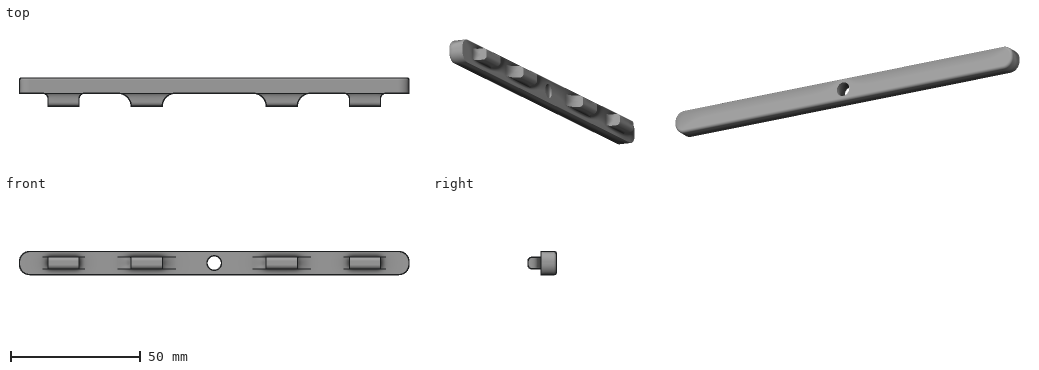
import cadquery as cq

bar_length = 150.0
bar_height = 9.0
bar_thickness = 6.0
end_corner_radius = 4.0
back_edge_radius = 1.0

hole_diameter = 5.5

lug_projection = 5.0
lug_height = 4.5
lug_tip_width = 12.0
lug_tip_radius = 1.5
outer_lug_x = 58.0
outer_root_radius = 2.0
inner_lug_x = 26.0
inner_root_radius = lug_projection
root_overlap = 1.0


def make_bar():
    """Bar with rounded ends, a rounded back edge and the middle hole."""
    bar = (
        cq.Workplane("XY")
        .box(bar_length, bar_thickness, bar_height, centered=(True, False, True))
        .edges("|Y")
        .fillet(end_corner_radius)
        .faces(">Y")
        .edges()
        .fillet(back_edge_radius)
    )
    hole = (
        cq.Workplane("XZ")
        .circle(hole_diameter / 2)
        .extrude(-bar_thickness)
    )
    return bar.cut(hole)


def make_lug(center_x, root_radius):
    """Lug with concave flares at its root and rounded long edges at its tip."""
    half_tip = lug_tip_width / 2
    half_root = half_tip + root_radius
    block_depth = lug_projection + root_overlap
    block = (
        cq.Workplane("XY")
        .box(2 * half_root, block_depth, lug_height, centered=(True, False, True))
        .translate((center_x, -lug_projection, 0))
        .faces("<Y")
        .edges("|X")
        .fillet(lug_tip_radius)
    )
    for side in (-1, 1):
        relief_x = center_x + side * half_root
        relief = (
            cq.Workplane("XY", origin=(relief_x, -root_radius, -lug_height / 2))
            .circle(root_radius)
            .extrude(lug_height)
        )
        straight_length = lug_projection - root_radius
        if straight_length > 0:
            straight = (
                cq.Workplane("XY")
                .box(2 * root_radius, straight_length, lug_height, centered=(True, False, True))
                .translate((relief_x, -lug_projection, 0))
            )
            relief = relief.union(straight)
        block = block.cut(relief)
    return block


result = make_bar()
for mirror_side in (-1, 1):
    result = result.union(make_lug(mirror_side * outer_lug_x, outer_root_radius))
    result = result.union(make_lug(mirror_side * inner_lug_x, inner_root_radius))